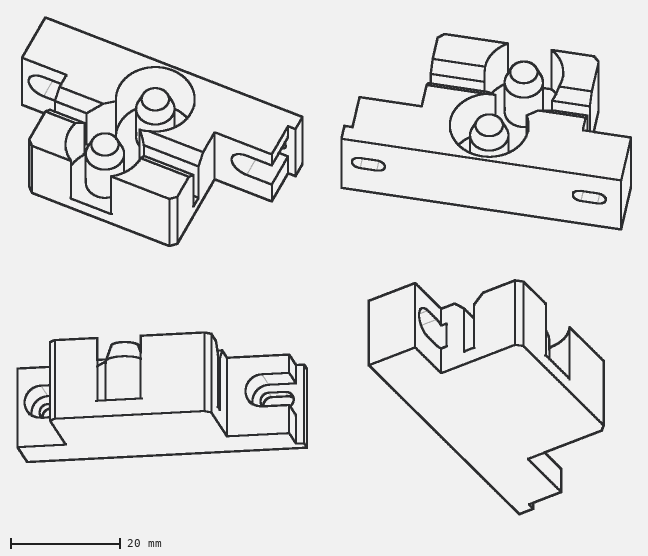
import cadquery as cq


length = 52.0
depth = 27.0
height = 15.0

plate_thickness = 3.0
wing_length = 50.5
wing_depth = 10.0
wing_front = depth - wing_depth
plate_front = depth - plate_thickness

block_left = 9.0
block_width = 29.95
block_right = block_left + block_width
corner_chamfer = 1.1

floor_level = 3.0
pocket_diameter = 14.4
back_pin_center = (26.0, 19.05)
front_pin_center = (22.0, 6.0)

pin_diameter = 7.0
pin_tip_diameter = 5.0
pin_tip_height = 3.0

channel_width = 4.0
channel_length = 13.0
channel_angle = 39.0
channel_end = (16.5, 10.4)

groove_width = 2.15
groove_flare = 2.0
left_groove_center = 11.0
left_groove_end = 17.9
right_groove_center = 9.05
right_groove_start = 19.9

slot_level = 8.4
slot_center_spacing = 3.05
slot_width = 3.05
slot_recess_width = 6.1
slot_recess_front = wing_front - 1.15
left_slot_center = 5.95
slot_pitch = 41.05
right_slot_center = left_slot_center + slot_pitch


def box(x_min, x_max, y_min, y_max, z_min, z_max):
    """Box between two opposite corners."""
    size = (x_max - x_min, y_max - y_min, z_max - z_min)
    return cq.Workplane("XY").box(*size, centered=False).translate((x_min, y_min, z_min))


def make_body():
    """Back plate, shorter wings and the chamfered pin block."""
    plate = box(0, length, plate_front, depth, 0, height)
    wings = box(0, wing_length, wing_front, depth, 0, height)
    block = box(block_left, block_right, 0, depth, 0, height)
    block = block.edges("|Z and <Y").chamfer(corner_chamfer)
    return plate.union(wings).union(block)


def make_pocket(center):
    """Round pocket, open at the top."""
    pocket = cq.Workplane("XY", origin=(*center, floor_level)).circle(pocket_diameter / 2)
    return pocket.extrude(height - floor_level)


def make_pin(center):
    """Straight pin with a conical tip, sunk through the floor to the underside."""
    shoulder = height - pin_tip_height
    profile = [
        (0, 0),
        (pin_diameter / 2, 0),
        (pin_diameter / 2, shoulder),
        (pin_tip_diameter / 2, height),
        (0, height),
    ]
    pin = cq.Workplane("XZ").polyline(profile).close().revolve(360, (0, 0), (0, 1))
    return pin.translate((*center, 0))


def make_channel():
    """Square-ended channel running up from its end towards the back pin."""
    channel = box(0, channel_length, -channel_width / 2, channel_width / 2, floor_level, height)
    return channel.rotate((0, 0, 0), (0, 0, 1), channel_angle).translate((*channel_end, 0))


def make_groove(x_start, x_end, y_center):
    """Groove along X whose mouth flares at 45 degrees."""
    half_width = groove_width / 2
    half_mouth = half_width + groove_flare
    flare_level = height - groove_flare
    profile = [
        (y_center - half_width, floor_level),
        (y_center + half_width, floor_level),
        (y_center + half_width, flare_level),
        (y_center + half_mouth, height),
        (y_center - half_mouth, height),
        (y_center - half_width, flare_level),
    ]
    groove = cq.Workplane("YZ", origin=(x_start, 0, 0)).polyline(profile).close()
    return groove.extrude(x_end - x_start)


def make_slot(x_center, width, y_min, y_max):
    """Round-ended slot cutter along Y, between two Y positions."""
    slot = cq.Workplane("XZ", origin=(x_center, y_max, slot_level))
    return slot.slot2D(slot_center_spacing + width, width).extrude(y_max - y_min)


result = make_body()

pin_centers = (back_pin_center, front_pin_center)
for pin_center in pin_centers:
    result = result.cut(make_pocket(pin_center))

result = result.cut(make_channel())
result = result.cut(make_groove(block_left, left_groove_end, left_groove_center))
result = result.cut(make_groove(right_groove_start, block_right, right_groove_center))

for pin_center in pin_centers:
    result = result.union(make_pin(pin_center))

for slot_center in (left_slot_center, right_slot_center):
    result = result.cut(make_slot(slot_center, slot_width, plate_front, depth))
    result = result.cut(make_slot(slot_center, slot_recess_width, slot_recess_front, plate_front))

recess_bottom = slot_level - slot_recess_width / 2
recess_top = slot_level + slot_recess_width / 2
result = result.cut(
    box(right_slot_center, wing_length, slot_recess_front, plate_front, recess_bottom, recess_top)
)